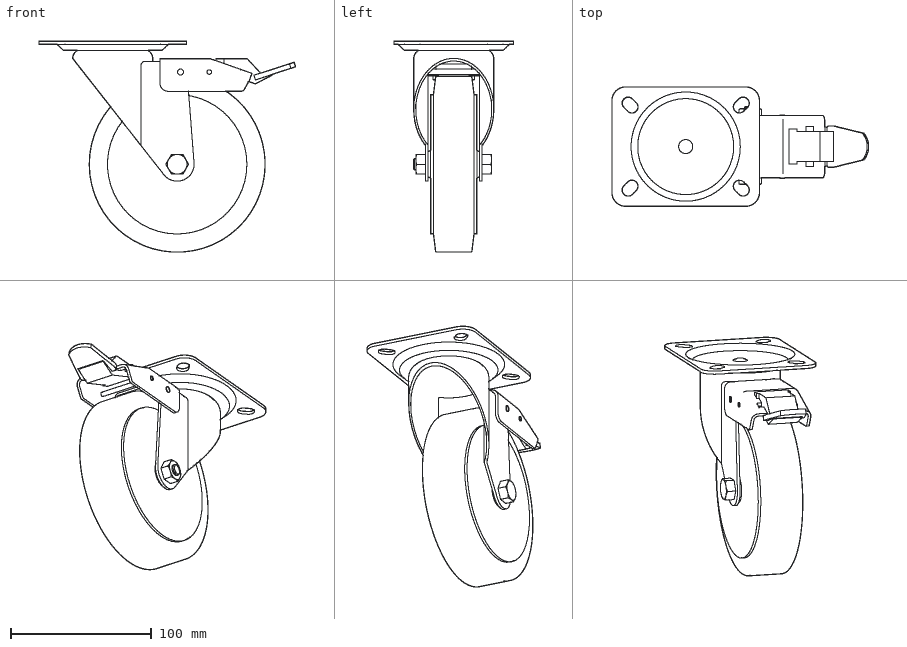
import cadquery as cq
import math


TOTAL_HEIGHT = 150.0
SHEET = 2.0
WHEEL_DIAMETER = 125.0
WHEEL_RADIUS = WHEEL_DIAMETER / 2
AXLE_X = 45.8
AXLE_Z = WHEEL_RADIUS

PLATE_LENGTH = 105.0
PLATE_WIDTH = 85.0
PLATE_THICKNESS = 2.3
PLATE_CORNER_RADIUS = 10.0
CUP_RIM_RADIUS = 38.8
CUP_FLOOR_RADIUS = 34.1
CUP_DEPTH = 4.4
CUP_BULGE = 0.9
SLOT_X = 39.5
SLOT_Y = 29.5
SLOT_WIDTH = 8.5
SLOT_LENGTH = 12.2
SLOT_ANGLE = 45
RIVET_RADIUS = 5.0
RIVET_HEIGHT = 1.5

BARREL_RADIUS = 28.5
BARREL_WALL = 1.5
BARREL_SHOULDER_RADIUS = 7.0
BARREL_SHOULDER_Z = 137.4
BARREL_TOP_Z = BARREL_SHOULDER_Z + BARREL_SHOULDER_RADIUS
FORK_CUT_FRONT_Z = BARREL_SHOULDER_Z + 0.3
FORK_HALF_WIDTH = 20.2
FORK_DECK_Z = 135.6
FORK_DECK_END_X = 52.2
FORK_BEND_RADIUS = 3.0
LEG_END_RADIUS = 12.0

HUB_RADIUS = 49.5
HUB_HALF_WIDTH = 16.4
TYRE_SIDE_HALF_WIDTH = 14.5
TYRE_EDGE_HALF_WIDTH = 12.9
TYRE_EDGE_RADIUS = 1.0

BOLT_RADIUS = 4.0
BOLT_END_Y = 28.6
BOLT_CHAMFER = 0.7
HEX_ACROSS_FLATS = 14.0
HEX_END_Y = 26.9
HEX_CHAMFER = 0.6
SPACER_LEG_RADIUS = 9.0
SPACER_HUB_RADIUS = 10.0

COVER_HALF_WIDTH = FORK_HALF_WIDTH + SHEET
COVER_TOP_Z = FORK_DECK_Z + SHEET
COVER_START_X = 33.5
COVER_BEND_X = 69.1
COVER_SLOPE = math.radians(19.5)
COVER_SLOPE_LENGTH = 31.6
COVER_BOTTOM_Z = 114.3
COVER_BOTTOM_END_X = 92.8
COVER_BEND_RADIUS = 5.0
COVER_FRONT_CORNER_RADIUS = 6.0
COVER_REAR_CORNER_RADIUS = 2.5
COVER_SLOT_START_X = 85.3
COVER_SLOT_END_X = 90.6
COVER_SLOT_HALF_WIDTH = 14.3

PIN_Z = 128.0
PIN_HALF_LENGTH = COVER_HALF_WIDTH + 0.4
PINS = [(48.2, 2.1), (68.6, 1.6)]

LEVER_START_X = 73.3
LEVER_STEP_X = 79.1
LEVER_BREAK_X = 95.5
LEVER_FRONT_BOTTOM_Z = 130.0
LEVER_HEAD_HALF_WIDTH = 12.5
LEVER_HALF_WIDTH = 10.75

PEDAL_ANGLE = 18.0
PEDAL_START_X = 101.4
PEDAL_START_Z = 122.4
PEDAL_LENGTH = 30.07
PEDAL_THICKNESS = 3.5
PEDAL_WIDE_HALF_WIDTH = 14.75
PEDAL_NARROW_HALF_WIDTH = 9.5
PEDAL_WIDE_LENGTH = 4.0
PEDAL_TAPER_END = 26.5
PEDAL_REAR_CORNER_RADIUS = 1.5


def side_profile(half_width):
    """Workplane parallel to XZ, for extruding by 2 * half_width centred on Y = 0."""
    return cq.Workplane("XZ", origin=(0, half_width, 0))


def cross_cylinder(x, z, radius, start_y, end_y):
    """Cylinder along Y."""
    return (
        cq.Workplane("XZ", origin=(x, start_y, z)).circle(radius).extrude(start_y - end_y)
    )


def circle_tangent_point(x, z, side):
    """Point where the line from (x, z) touches the leg end circle; side is +1 or -1."""
    dx = x - AXLE_X
    dz = z - AXLE_Z
    angle = math.atan2(dz, dx) + side * math.acos(LEG_END_RADIUS / math.hypot(dx, dz))
    return (
        AXLE_X + LEG_END_RADIUS * math.cos(angle),
        AXLE_Z + LEG_END_RADIUS * math.sin(angle),
    )


def point_on_line(start, end, z):
    """Point at height z on the line through two (x, z) points."""
    slope = (end[0] - start[0]) / (end[1] - start[1])
    return (start[0] + slope * (z - start[1]), z)


def make_plate():
    underside_z = TOTAL_HEIGHT - PLATE_THICKNESS
    plate = (
        cq.Workplane("XY", origin=(0, 0, underside_z))
        .rect(PLATE_LENGTH, PLATE_WIDTH)
        .extrude(PLATE_THICKNESS)
        .edges("|Z")
        .fillet(PLATE_CORNER_RADIUS)
    )
    cup_outside = (
        cq.Workplane("XY", origin=(0, 0, underside_z))
        .circle(CUP_RIM_RADIUS + CUP_BULGE)
        .workplane(offset=-CUP_DEPTH)
        .circle(CUP_FLOOR_RADIUS + CUP_BULGE)
        .loft()
    )
    cup_inside = (
        cq.Workplane("XY", origin=(0, 0, TOTAL_HEIGHT))
        .circle(CUP_RIM_RADIUS)
        .workplane(offset=-CUP_DEPTH)
        .circle(CUP_FLOOR_RADIUS)
        .loft()
    )
    plate = plate.union(cup_outside).cut(cup_inside)
    for side_x in (1, -1):
        for side_y in (1, -1):
            slot = (
                cq.Workplane("XY", origin=(side_x * SLOT_X, side_y * SLOT_Y, underside_z))
                .transformed(rotate=(0, 0, side_x * side_y * SLOT_ANGLE))
                .slot2D(SLOT_LENGTH, SLOT_WIDTH)
                .extrude(PLATE_THICKNESS)
            )
            plate = plate.cut(slot)
    return plate.union(make_rivet(TOTAL_HEIGHT - CUP_DEPTH))


def dome_radius(base_radius, height):
    """Radius of the sphere that a shallow dome belongs to."""
    return (base_radius**2 + height**2) / (2 * height)


def make_rivet(floor_z):
    """Low domed rivet head in the middle of the cup."""
    return (
        cq.Workplane("XZ")
        .moveTo(0, floor_z - PLATE_THICKNESS)
        .lineTo(RIVET_RADIUS, floor_z - PLATE_THICKNESS)
        .lineTo(RIVET_RADIUS, floor_z)
        .radiusArc((0, floor_z + RIVET_HEIGHT), -dome_radius(RIVET_RADIUS, RIVET_HEIGHT))
        .close()
        .revolve(360, (0, 0, 0), (0, 1, 0))
    )


def make_barrel(radius, top_z, shoulder_radius):
    """Upright cylinder with a rounded shoulder."""
    return cq.Workplane("XY").circle(radius).extrude(top_z).faces(">Z").edges().fillet(shoulder_radius)


def make_fork_block(half_width, top_z, bend_radius):
    """Block between the swivel axis and the rear of the fork, with rounded upper long edges."""
    length = AXLE_X + 2 * LEG_END_RADIUS
    return (
        cq.Workplane("XY", origin=(length / 2, 0, 0))
        .rect(length, 2 * half_width)
        .extrude(top_z)
        .edges("|X and >Z")
        .fillet(bend_radius)
    )


def make_fork():
    """Hollow barrel and two legs, trimmed to one side outline that ends round the axle."""
    body = make_barrel(BARREL_RADIUS, BARREL_TOP_Z, BARREL_SHOULDER_RADIUS)
    body = body.union(make_fork_block(FORK_HALF_WIDTH, FORK_DECK_Z, FORK_BEND_RADIUS))
    front_top = (-BARREL_RADIUS, FORK_CUT_FRONT_Z)
    rear_top = (FORK_DECK_END_X, FORK_DECK_Z)
    front_tangent = circle_tangent_point(*front_top, 1)
    rear_tangent = circle_tangent_point(*rear_top, -1)
    outline = (
        side_profile(BARREL_RADIUS + SHEET)
        .moveTo(*point_on_line(front_tangent, front_top, TOTAL_HEIGHT))
        .lineTo(*front_tangent)
        .threePointArc((AXLE_X, AXLE_Z - LEG_END_RADIUS), rear_tangent)
        .lineTo(*point_on_line(rear_tangent, rear_top, TOTAL_HEIGHT))
        .close()
        .extrude(2 * (BARREL_RADIUS + SHEET))
    )
    cavity = make_barrel(
        BARREL_RADIUS - BARREL_WALL,
        BARREL_TOP_Z - BARREL_WALL,
        BARREL_SHOULDER_RADIUS - BARREL_WALL,
    )
    wheel_gap = make_fork_block(
        FORK_HALF_WIDTH - SHEET,
        FORK_DECK_Z - SHEET,
        FORK_BEND_RADIUS - SHEET,
    )
    return body.cut(cavity.union(wheel_gap)).intersect(outline)


def make_wheel():
    """Tyre with bevelled sides on a wider flat hub."""
    tyre = (
        cq.Workplane("XY", origin=(AXLE_X, 0, AXLE_Z))
        .polyline(
            [
                (0, -TYRE_SIDE_HALF_WIDTH),
                (HUB_RADIUS, -TYRE_SIDE_HALF_WIDTH),
                (WHEEL_RADIUS, -TYRE_EDGE_HALF_WIDTH),
                (WHEEL_RADIUS, TYRE_EDGE_HALF_WIDTH),
                (HUB_RADIUS, TYRE_SIDE_HALF_WIDTH),
                (0, TYRE_SIDE_HALF_WIDTH),
            ]
        )
        .close()
        .revolve(360, (0, 0, 0), (0, 1, 0))
    )
    rim_edges = cq.selectors.RadiusNthSelector(-1)
    tyre = tyre.edges(rim_edges).fillet(TYRE_EDGE_RADIUS)
    hub = cross_cylinder(AXLE_X, AXLE_Z, HUB_RADIUS, -HUB_HALF_WIDTH, HUB_HALF_WIDTH)
    return tyre.union(hub)


def make_hexagon(side_y):
    """Bolt head or nut against the outside of a leg, with a turned chamfer at its outer end."""
    corner_radius = HEX_ACROSS_FLATS / math.sqrt(3)
    height = HEX_END_Y - FORK_HALF_WIDTH
    hexagon = (
        cq.Workplane("XZ", origin=(AXLE_X, side_y * FORK_HALF_WIDTH, AXLE_Z))
        .polygon(6, 2 * corner_radius)
        .extrude(-side_y * height)
    )
    turned = cross_cylinder(
        AXLE_X, AXLE_Z, corner_radius, side_y * FORK_HALF_WIDTH, side_y * HEX_END_Y
    )
    outer_face = ">Y" if side_y > 0 else "<Y"
    turned = turned.faces(outer_face).edges().chamfer(HEX_CHAMFER, corner_radius - HEX_ACROSS_FLATS / 2)
    return hexagon.intersect(turned)


def make_axle():
    """Bolt with head and nut, and the tapered spacers between the hub and the legs."""
    axle = cross_cylinder(AXLE_X, AXLE_Z, BOLT_RADIUS, -FORK_HALF_WIDTH, BOLT_END_Y)
    axle = axle.faces(">Y").edges().chamfer(BOLT_CHAMFER)
    leg_inside = FORK_HALF_WIDTH - SHEET
    spacers = (
        cq.Workplane("XY", origin=(AXLE_X, 0, AXLE_Z))
        .polyline(
            [
                (0, -leg_inside),
                (SPACER_LEG_RADIUS, -leg_inside),
                (SPACER_HUB_RADIUS, -HUB_HALF_WIDTH),
                (SPACER_HUB_RADIUS, HUB_HALF_WIDTH),
                (SPACER_LEG_RADIUS, leg_inside),
                (0, leg_inside),
            ]
        )
        .close()
        .revolve(360, (0, 0, 0), (0, 1, 0))
    )
    return axle.union(spacers).union(make_hexagon(1)).union(make_hexagon(-1))


def round_long_edges(block, half_width, slope_end_x, slope_end_z, top_z, radius):
    """Round the upper long edges, level and sloping, on both sides of a bent block."""
    level_middle_x = (COVER_START_X + COVER_BEND_X) / 2
    slope_middle_x = (COVER_BEND_X + slope_end_x) / 2
    slope_middle_z = (top_z + slope_end_z) / 2
    edges = []
    for side_y in (half_width, -half_width):
        for middle in ((level_middle_x, side_y, top_z), (slope_middle_x, side_y, slope_middle_z)):
            edges += block.edges(cq.selectors.NearestToPointSelector(middle)).vals()
    return block.newObject(edges).fillet(radius)


def make_cover():
    """Channel over the rear of the fork; its top bends down along a slope."""
    slope_end_x = COVER_BEND_X + COVER_SLOPE_LENGTH * math.cos(COVER_SLOPE)
    slope_end_z = COVER_TOP_Z - COVER_SLOPE_LENGTH * math.sin(COVER_SLOPE)
    lip_x = slope_end_x - COVER_BEND_RADIUS * math.sin(COVER_SLOPE)
    lip_z = slope_end_z - COVER_BEND_RADIUS * math.cos(COVER_SLOPE)
    block = (
        side_profile(COVER_HALF_WIDTH)
        .polyline(
            [
                (COVER_START_X, COVER_TOP_Z),
                (COVER_BEND_X, COVER_TOP_Z),
                (slope_end_x, slope_end_z),
                (lip_x, lip_z),
                (COVER_BOTTOM_END_X, COVER_BOTTOM_Z),
                (COVER_START_X, COVER_BOTTOM_Z),
            ]
        )
        .close()
        .extrude(2 * COVER_HALF_WIDTH)
    )
    block = block.edges("|Y and <X and <Z").fillet(COVER_FRONT_CORNER_RADIUS)
    rear_corner = cq.selectors.NearestToPointSelector((COVER_BOTTOM_END_X, 0, COVER_BOTTOM_Z))
    block = block.edges("|Y").edges(rear_corner).fillet(COVER_REAR_CORNER_RADIUS)
    block = round_long_edges(
        block, COVER_HALF_WIDTH, slope_end_x, slope_end_z, COVER_TOP_Z, COVER_BEND_RADIUS
    )

    reach = SHEET / math.cos(COVER_SLOPE)
    overrun = 10.0
    inside_bend_x = COVER_BEND_X - SHEET * math.tan(COVER_SLOPE / 2)
    inside_top_z = COVER_TOP_Z - SHEET
    inside_end_x = slope_end_x + overrun
    inside_end_z = slope_end_z - overrun * math.tan(COVER_SLOPE) - reach
    inside = (
        side_profile(FORK_HALF_WIDTH)
        .polyline(
            [
                (COVER_START_X, inside_top_z),
                (inside_bend_x, inside_top_z),
                (inside_end_x, inside_end_z),
                (inside_end_x, COVER_BOTTOM_Z),
                (COVER_START_X, COVER_BOTTOM_Z),
            ]
        )
        .close()
        .extrude(2 * FORK_HALF_WIDTH)
    )
    inside = round_long_edges(
        inside, FORK_HALF_WIDTH, inside_end_x, inside_end_z, inside_top_z, COVER_BEND_RADIUS - SHEET
    )
    slot = (
        cq.Workplane("XY", origin=(0, 0, COVER_BOTTOM_Z))
        .moveTo((COVER_SLOT_START_X + COVER_SLOT_END_X) / 2, 0)
        .rect(COVER_SLOT_END_X - COVER_SLOT_START_X, 2 * COVER_SLOT_HALF_WIDTH)
        .extrude(COVER_TOP_Z - COVER_BOTTOM_Z)
    )
    return block.cut(inside).cut(slot)


def make_pins():
    pins = cq.Workplane("XY")
    for x, radius in PINS:
        pins = pins.union(cross_cylinder(x, PIN_Z, radius, -PIN_HALF_LENGTH, PIN_HALF_LENGTH))
    return pins


def make_lever():
    """Brake lever standing up through the sloping part of the cover, with a wider front end."""
    toe = (113.3, 125.7)
    toe_top = (105.5, 126.8)
    heel = (101.2, 119.5)
    lever = (
        side_profile(LEVER_HEAD_HALF_WIDTH)
        .polyline(
            [
                (LEVER_START_X, COVER_TOP_Z),
                (LEVER_BREAK_X, COVER_TOP_Z),
                toe_top,
                toe,
                heel,
                (LEVER_START_X, LEVER_FRONT_BOTTOM_Z),
            ]
        )
        .close()
        .extrude(2 * LEVER_HEAD_HALF_WIDTH)
    )
    side_step = LEVER_HEAD_HALF_WIDTH - LEVER_HALF_WIDTH
    for side_y in (1, -1):
        lever = lever.cut(
            cq.Workplane("XY", origin=(LEVER_STEP_X, 0, heel[1]))
            .center((toe[0] - LEVER_STEP_X) / 2, side_y * (LEVER_HALF_WIDTH + side_step / 2))
            .rect(toe[0] - LEVER_STEP_X, side_step)
            .extrude(COVER_TOP_Z - heel[1])
        )
    return lever


def make_pedal():
    """Tapered foot plate with a rounded end, tilted upwards to the rear."""
    pedal = (
        cq.Workplane("XY")
        .moveTo(0, -PEDAL_WIDE_HALF_WIDTH)
        .lineTo(PEDAL_WIDE_LENGTH, -PEDAL_WIDE_HALF_WIDTH)
        .lineTo(PEDAL_TAPER_END, -PEDAL_NARROW_HALF_WIDTH)
        .threePointArc((PEDAL_LENGTH, 0), (PEDAL_TAPER_END, PEDAL_NARROW_HALF_WIDTH))
        .lineTo(PEDAL_WIDE_LENGTH, PEDAL_WIDE_HALF_WIDTH)
        .lineTo(0, PEDAL_WIDE_HALF_WIDTH)
        .close()
        .extrude(PEDAL_THICKNESS)
        .edges("|Z and <X")
        .fillet(PEDAL_REAR_CORNER_RADIUS)
    )
    return pedal.rotate((0, 0, 0), (0, 1, 0), -PEDAL_ANGLE).translate((PEDAL_START_X, 0, PEDAL_START_Z))


result = make_plate()
for component in (
    make_fork(),
    make_wheel(),
    make_axle(),
    make_cover(),
    make_pins(),
    make_lever(),
    make_pedal(),
):
    result = result.union(component)